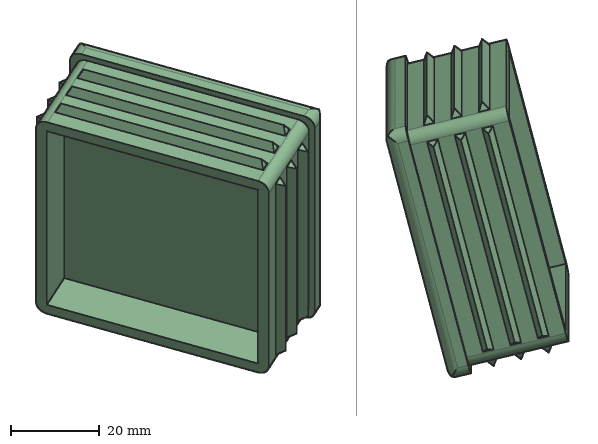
import cadquery as cq

rib_span = 60.9
total_depth = 28.0

cap_side = 59.95
cap_thickness = 5.0
cap_edge_radius = 2.5
corner_radius = 2.75

plug_side = 57.0
plug_depth = total_depth - cap_thickness
pocket_side = 51.65
pocket_depth = 10.0

rib_length = 50.9
rib_base = 2.5
rib_end_inset = 1.0
rib_count = 3
rib_pitch = 6.4
first_rib_y = 5.1
rib_height = (rib_span - plug_side) / 2
rib_root = 0.6


def square_block(side, start_y, depth):
    """Square block centred on the Y axis, reaching from start_y toward +Y."""
    return (
        cq.Workplane("XY")
        .box(side, depth, side, centered=(True, False, True))
        .translate((0, start_y, 0))
    )


def make_rib(crest_y):
    """Triangular rib on the +Z side, with both ends sloping in toward the crest."""
    root_z = plug_side / 2 - rib_root
    base_z = plug_side / 2
    crest_z = base_z + rib_height
    half_length = rib_length / 2
    half_base = rib_base / 2

    section = [
        (crest_y - half_base, root_z),
        (crest_y - half_base, base_z),
        (crest_y, crest_z),
        (crest_y + half_base, base_z),
        (crest_y + half_base, root_z),
    ]
    side_outline = [
        (-half_length, root_z),
        (-half_length, base_z),
        (-half_length + rib_end_inset, crest_z),
        (half_length - rib_end_inset, crest_z),
        (half_length, base_z),
        (half_length, root_z),
    ]
    ridge = cq.Workplane("YZ").polyline(section).close().extrude(half_length, both=True)
    end_slopes = cq.Workplane("XZ").polyline(side_outline).close().extrude(total_depth, both=True)
    return ridge.intersect(end_slopes)


cap_block = square_block(cap_side, plug_depth, cap_thickness)
cap = cap_block.faces(">Y").edges().fillet(cap_edge_radius)
cap = cap.intersect(cap_block.edges("|Y").fillet(corner_radius))

plug = square_block(plug_side, 0, plug_depth).edges("|Y").fillet(corner_radius)
result = cap.union(plug).cut(square_block(pocket_side, 0, pocket_depth))

for index in range(rib_count):
    rib = make_rib(first_rib_y + index * rib_pitch)
    for angle in (0, 90, 180, 270):
        result = result.union(rib.rotate((0, 0, 0), (0, 1, 0), angle))